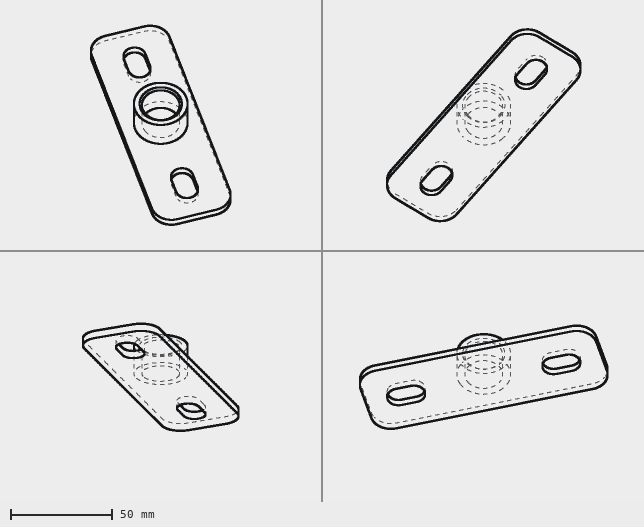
import cadquery as cq

plate_length = 120
plate_width = 40.0
plate_thickness = 4.0
corner_radius = 10.0

slot_length = 19.0
slot_width = 11.0
slot_spacing = 79.0

total_height = 19.0
socket_diameter = 26.4
bore_diameter = 18.6
bore_mouth_diameter = 20.8
mouth_chamfer = (bore_mouth_diameter - bore_diameter) / 2
socket_height = total_height - plate_thickness


def make_plate():
    """Rounded plate with its underside at Z = 0 and a slot near each end."""
    plate = cq.Workplane("XY").box(
        plate_length, plate_width, plate_thickness, centered=(True, True, False)
    )
    plate = plate.edges("|Z").fillet(corner_radius)
    slots = (
        cq.Workplane("XY")
        .pushPoints([(-slot_spacing / 2, 0), (slot_spacing / 2, 0)])
        .slot2D(slot_length, slot_width)
        .extrude(plate_thickness)
    )
    return plate.cut(slots)


def make_socket():
    """Tube standing on the plate, with a chamfered bore mouth."""
    tube = (
        cq.Workplane("XY")
        .workplane(offset=plate_thickness)
        .circle(socket_diameter / 2)
        .circle(bore_diameter / 2)
        .extrude(socket_height)
    )
    bore_rim = tube.faces(">Z").edges(cq.selectors.RadiusNthSelector(0))
    return bore_rim.chamfer(mouth_chamfer)


result = make_plate().union(make_socket())